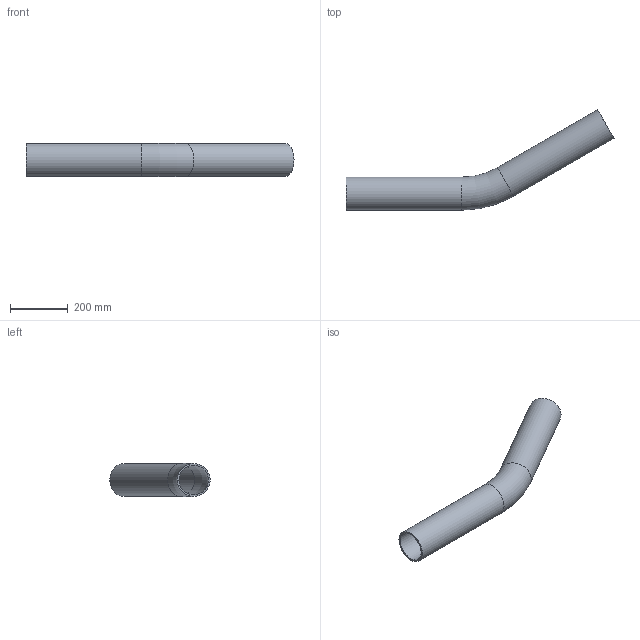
import cadquery as cq
import math

outer_diameter = 114.3
wall_thickness = 6.0
leg_length = 400.0
bend_radius = 305.0
bend_angle = 30.0

outer_radius = outer_diameter / 2
inner_radius = outer_radius - wall_thickness


def bend_point(angle_degrees):
    """Centreline point of the bend after turning by the given angle."""
    angle = math.radians(angle_degrees)
    x = leg_length + bend_radius * math.sin(angle)
    y = bend_radius * (1 - math.cos(angle))
    return x, y


def pipe_centreline():
    """Straight leg along +X, tangent bend towards +Y, then a second straight leg."""
    bend_end_x, bend_end_y = bend_point(bend_angle)
    exit_angle = math.radians(bend_angle)
    outlet = (
        bend_end_x + leg_length * math.cos(exit_angle),
        bend_end_y + leg_length * math.sin(exit_angle),
    )
    return (
        cq.Workplane("XY")
        .lineTo(leg_length, 0)
        .threePointArc(bend_point(bend_angle / 2), bend_point(bend_angle))
        .lineTo(*outlet)
    )


def bent_pipe():
    """Ring section swept along the centreline, open at both ends."""
    ring = cq.Workplane("YZ").circle(outer_radius).circle(inner_radius)
    return ring.sweep(pipe_centreline())


result = bent_pipe()